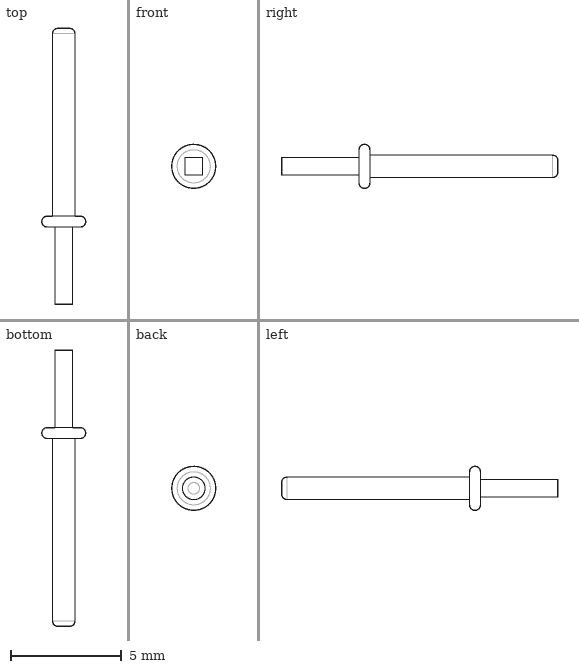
import cadquery as cq

total_length = 12.5
collar_diameter = 2.0
collar_thickness = 0.5
rod_diameter = 1.02
tip_radius = 0.25
tail_width = 0.8
tail_length = 3.5

collar_radius = collar_diameter / 2
rim_radius = collar_thickness / 2
rod_radius = rod_diameter / 2
collar_start = tail_length
collar_end = collar_start + collar_thickness
rod_length = total_length - collar_end


def make_tail():
    """Square tail, running into the collar's mid-plane."""
    return cq.Workplane("XZ").rect(tail_width, tail_width).extrude(-(tail_length + rim_radius))


def make_collar():
    """Disc with a fully rounded rim."""
    flat_radius = collar_radius - rim_radius
    profile = (
        cq.Workplane("XY")
        .moveTo(0, collar_start)
        .lineTo(flat_radius, collar_start)
        .threePointArc((collar_radius, collar_start + rim_radius), (flat_radius, collar_end))
        .lineTo(0, collar_end)
        .close()
    )
    return profile.revolve(360, (0, 0, 0), (0, 1, 0))


def make_rod():
    """Round rod with a rounded tip."""
    rod = cq.Workplane("XZ", origin=(0, collar_end, 0)).circle(rod_radius).extrude(-rod_length)
    return rod.faces(">Y").edges().fillet(tip_radius)


result = make_tail().union(make_collar()).union(make_rod())